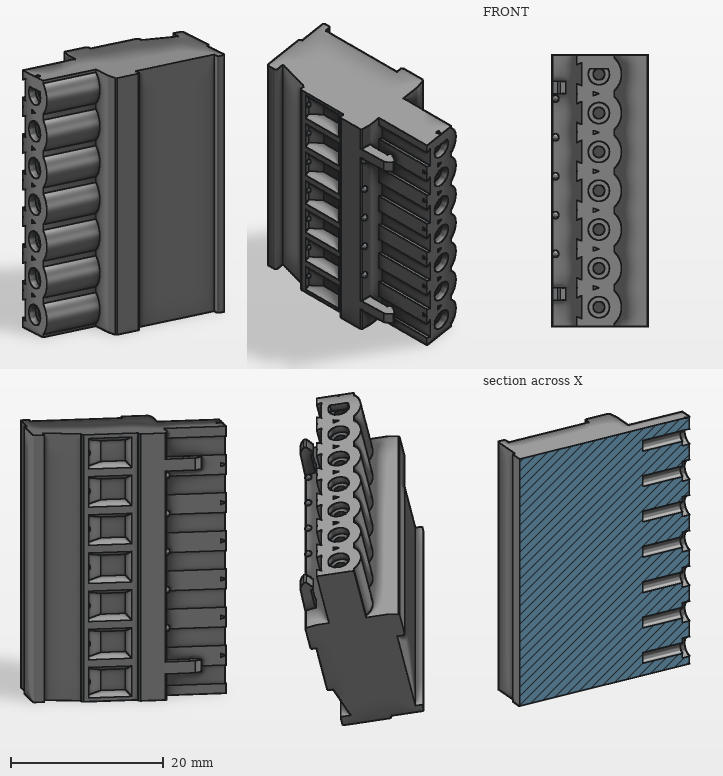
import cadquery as cq


POLES = 7
LENGTH = 35.55
PITCH = LENGTH / POLES
pole_centers = [PITCH * (i + 0.5) for i in range(POLES)]
pole_borders = [PITCH * i for i in range(1, POLES)]

WIDTH = 12.6
DEPTH = 26.0
COLLAR_BOTTOM = 8.25
COLLAR_TOP = 12.25
COLLAR_EDGE = 8.7
SLOPE_EDGE = 8.5
SLOPE_WIDTH = 1.53
EDGE_BREAK = 0.15
TOP_BREAK = 0.25
ENTRY_FACE = 0.75
BACK_FACE = 11.55
SHOULDER = 19.65
SHOULDER_BREAK = 0.25
RAMP_FOOT = 1.6
RAMP_HEAD = 2.9
CAP_BOTTOM = 24.45
CAP_LEFT = 1.53
CAP_RIGHT = 12.48
CAP_STEP_X = 8.18
CAP_STEP = 0.4
STEP_RUN = 0.25
CAP_FILLET = 0.25

PLUG_LEFT = 3.25
PLUG_RIGHT = 8.18
COLLAR_OVERLAP = 0.35
CONTACT_X = 6.15
SOCKET_WALL_RADIUS = 2.95
SOCKET_RADIUS = 1.4
SOCKET_DEPTH = 1.05
BORE_RADIUS = 0.75
BORE_DEPTH = 7.1
FLAT_OFFSET = 0.75
GROOVE_DEPTH = 0.65
GROOVE_MOUTH = 2.45
GROOVE_FLOOR = 3.0

ENTRY_DEPTH = 1.53
ENTRY_WALL_DEPTH = 0.65
ENTRY_FRONT = 13.0
ENTRY_REAR = 18.75
ENTRY_FLOOR_FRONT = 13.6
ENTRY_FLOOR_REAR = 16.9
ENTRY_HEIGHT = 4.05
ENTRY_FLOOR_HEIGHT = 2.77

BEAD_RADIUS = 0.45
ENTRY_BEAD_INSET = 0.18
COLLAR_BEAD_COUNT = 5
COLLAR_BEAD_Y = 8.45
COLLAR_BEAD_TOP = 5.73

LATCH_WIDTH = 1.6
LATCH_OFFSET = 0.1
LATCH_LEAD_X = 0.35
LATCH_LEAD_Y = 4.23
LATCH_TIP_Y = 3.75
LATCH_TIP_LEFT = 0.8
LATCH_TIP_RIGHT = 1.1
LATCH_BARB_X = 1.8
LATCH_BARB_Y = 4.73
LATCH_BARB_LAND = 0.25
LATCH_INNER_X = 1.42
LATCH_NECK_Y = 5.25
LATCH_ROOT_Y = 7.8

MARK_LENGTH = 0.7
MARK_WIDTH = 0.5
MARK_DEPTH = 0.07


def prism_along_z(points, start, height):
    """Outline of (x, y) points raised along Z."""
    return cq.Workplane("XY", origin=(0, 0, start)).polyline(points).close().extrude(height)


def prism_along_y(points, start, length):
    """Outline of (x, z) points carried along +Y."""
    return cq.Workplane("XZ", origin=(0, start, 0)).polyline(points).close().extrude(-length)


def cylinder_along_y(radius, x, z, start, length):
    return cq.Workplane("XZ", origin=(x, start, z)).circle(radius).extrude(-length)


def bead(x, y, z):
    return cq.Workplane("XY").sphere(BEAD_RADIUS).translate((x, y, z))


def housing():
    points = [
        (SLOPE_WIDTH, COLLAR_BOTTOM),
        (WIDTH - SLOPE_WIDTH, COLLAR_BOTTOM),
        (WIDTH - EDGE_BREAK, SLOPE_EDGE),
        (WIDTH, COLLAR_EDGE),
        (WIDTH, COLLAR_TOP - TOP_BREAK),
        (WIDTH - EDGE_BREAK, COLLAR_TOP),
        (BACK_FACE, COLLAR_TOP),
        (BACK_FACE, CAP_BOTTOM),
        (CAP_RIGHT, CAP_BOTTOM),
        (CAP_RIGHT, DEPTH - CAP_STEP),
        (CAP_STEP_X, DEPTH - CAP_STEP),
        (CAP_STEP_X - STEP_RUN, DEPTH),
        (CAP_LEFT, DEPTH),
        (CAP_LEFT, CAP_BOTTOM),
        (RAMP_HEAD, CAP_BOTTOM),
        (RAMP_FOOT, SHOULDER + SHOULDER_BREAK),
        (RAMP_FOOT - EDGE_BREAK, SHOULDER),
        (ENTRY_FACE + EDGE_BREAK, SHOULDER),
        (ENTRY_FACE, SHOULDER - SHOULDER_BREAK),
        (ENTRY_FACE, COLLAR_TOP),
        (EDGE_BREAK, COLLAR_TOP),
        (0, COLLAR_TOP - TOP_BREAK),
        (0, COLLAR_EDGE),
        (EDGE_BREAK, SLOPE_EDGE),
    ]
    cap_corners = [
        (CAP_LEFT, CAP_BOTTOM),
        (CAP_LEFT, DEPTH),
        (CAP_RIGHT, CAP_BOTTOM),
        (CAP_RIGHT, DEPTH - CAP_STEP),
    ]
    body = prism_along_z(points, 0, LENGTH)
    for x, y in cap_corners:
        corner = cq.selectors.NearestToPointSelector((x, y, LENGTH / 2))
        body = body.edges("|Z").edges(corner).fillet(CAP_FILLET)
    return body


def plug():
    """Plug block with one rounded socket wall per pole."""
    reach = COLLAR_BOTTOM + COLLAR_OVERLAP
    block = cq.Workplane("XY").box(PLUG_RIGHT - PLUG_LEFT, reach, LENGTH, centered=False)
    block = block.translate((PLUG_LEFT, 0, 0))
    for z in pole_centers:
        wall = cylinder_along_y(SOCKET_WALL_RADIUS, CONTACT_X, z, 0, reach)
        wall_limit = cq.Workplane("XY").box(WIDTH, reach, PITCH, centered=False)
        block = block.union(wall.intersect(wall_limit.translate((CONTACT_X, 0, z - PITCH / 2))))
    return block


def socket(z, flat_top):
    """Contact opening with a smaller bore; a flat can cut off its upper part."""
    opening = cylinder_along_y(SOCKET_RADIUS, CONTACT_X, z, 0, SOCKET_DEPTH)
    if flat_top:
        cut_off = cq.Workplane("XY").box(2 * SOCKET_RADIUS, SOCKET_DEPTH, SOCKET_RADIUS, centered=False)
        opening = opening.cut(cut_off.translate((CONTACT_X - SOCKET_RADIUS, 0, z + FLAT_OFFSET)))
    return opening.union(cylinder_along_y(BORE_RADIUS, CONTACT_X, z, 0, BORE_DEPTH))


def dovetail_groove(z):
    points = [
        (PLUG_LEFT, z - GROOVE_MOUTH / 2),
        (PLUG_LEFT, z + GROOVE_MOUTH / 2),
        (PLUG_LEFT + GROOVE_DEPTH, z + GROOVE_FLOOR / 2),
        (PLUG_LEFT + GROOVE_DEPTH, z - GROOVE_FLOOR / 2),
    ]
    return prism_along_y(points, 0, COLLAR_BOTTOM)


def wire_entry(z):
    """Tapered pocket whose rear wall is straight at first and then slopes to the floor."""
    floor = ENTRY_FACE + ENTRY_DEPTH
    side_view = [
        (ENTRY_FACE, ENTRY_FRONT),
        (ENTRY_FACE, ENTRY_REAR),
        (ENTRY_FACE + ENTRY_WALL_DEPTH, ENTRY_REAR),
        (floor, ENTRY_FLOOR_REAR),
        (floor, ENTRY_FLOOR_FRONT),
    ]
    end_view = [
        (ENTRY_FACE, z - ENTRY_HEIGHT / 2),
        (ENTRY_FACE, z + ENTRY_HEIGHT / 2),
        (floor, z + ENTRY_FLOOR_HEIGHT / 2),
        (floor, z - ENTRY_FLOOR_HEIGHT / 2),
    ]
    slopes = prism_along_y(end_view, ENTRY_FRONT, ENTRY_REAR - ENTRY_FRONT)
    return slopes.intersect(prism_along_z(side_view, z - ENTRY_HEIGHT / 2, ENTRY_HEIGHT))


def latch(start):
    """Hooked arm reaching down beside the plug."""
    points = [
        (0, COLLAR_EDGE),
        (LATCH_OFFSET, LATCH_BARB_Y),
        (LATCH_LEAD_X, LATCH_LEAD_Y),
        (LATCH_TIP_LEFT, LATCH_TIP_Y),
        (LATCH_TIP_RIGHT, LATCH_TIP_Y),
        (LATCH_BARB_X, LATCH_BARB_Y),
        (LATCH_BARB_X, LATCH_BARB_Y + LATCH_BARB_LAND),
        (LATCH_INNER_X, LATCH_NECK_Y),
        (LATCH_INNER_X, LATCH_ROOT_Y),
        (SLOPE_WIDTH, COLLAR_BOTTOM),
        (SLOPE_WIDTH, COLLAR_EDGE),
    ]
    return prism_along_z(points, start, LATCH_WIDTH)


def front_mark(z):
    """Triangle on the plug face pointing at the contact axis."""
    points = [
        (CONTACT_X, z),
        (CONTACT_X - MARK_LENGTH, z + MARK_WIDTH / 2),
        (CONTACT_X - MARK_LENGTH, z - MARK_WIDTH / 2),
    ]
    return prism_along_y(points, 0, MARK_DEPTH)


def side_mark(z):
    """Triangle on the plug's side pointing at the plug face."""
    points = [(0, z), (MARK_LENGTH, z + MARK_WIDTH / 2), (MARK_LENGTH, z - MARK_WIDTH / 2)]
    return cq.Workplane("YZ", origin=(PLUG_LEFT, 0, 0)).polyline(points).close().extrude(MARK_DEPTH)


def end_mark():
    """Triangle on the top end pointing at the plug face."""
    points = [
        (CONTACT_X, 0),
        (CONTACT_X - MARK_WIDTH / 2, MARK_LENGTH),
        (CONTACT_X + MARK_WIDTH / 2, MARK_LENGTH),
    ]
    return prism_along_z(points, LENGTH - MARK_DEPTH, MARK_DEPTH)


result = housing().union(plug())

for z in pole_centers:
    result = result.cut(socket(z, flat_top=(z == pole_centers[-1])))
    result = result.cut(dovetail_groove(z))
    result = result.cut(wire_entry(z))
    result = result.union(bead(ENTRY_FACE + ENTRY_WALL_DEPTH, ENTRY_REAR + ENTRY_BEAD_INSET, z))

for z in pole_borders:
    result = result.cut(front_mark(z))
    result = result.cut(side_mark(z))
result = result.cut(end_mark())

for i in range(COLLAR_BEAD_COUNT):
    result = result.union(bead(BEAD_RADIUS, COLLAR_BEAD_Y, LENGTH - COLLAR_BEAD_TOP - i * PITCH))

for start in (pole_borders[0] - LATCH_WIDTH, pole_borders[-1]):
    result = result.union(latch(start))